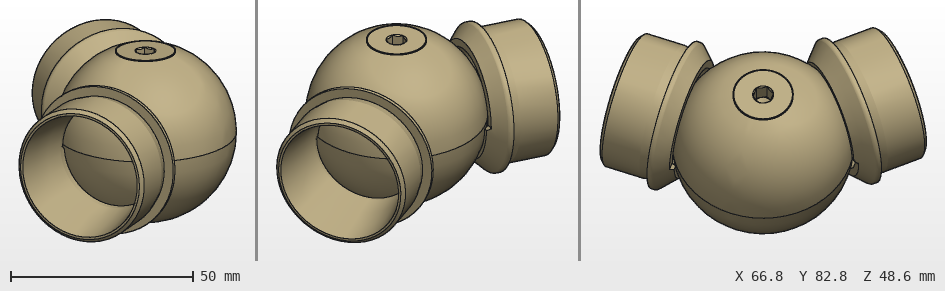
import cadquery as cq
import math

ball_radius = 25.0

screw_radius = 8.3
screw_top = 23.6
screw_chamfer = 0.25
socket_width = 5.0
socket_depth = 5.0
drill_tip_angle = 118

near_face = 20.0
clear_step = 1.0
flange_edge = 24.85
flange_end = 26.1
neck_start = 26.5
neck_end = 29.0
bore_taper_start = 22.1
connector_end = 41.0

flange_radius = 21.2
neck_radius = 18.5
tube_radius = 19.1
mouth_radius = 17.5
seat_radius = math.sqrt(ball_radius**2 - near_face**2)
cone_tip_radius = flange_radius - (flange_edge - near_face)
flange_fillet = 1.0
tube_chamfer = 1.0

lower_connector_angle = -90
upper_connector_angle = 135


def half_ball(side):
    """Solid half ball above (side = 1) or below (side = -1) the plane z = 0."""
    return (
        cq.Workplane("XZ")
        .moveTo(0, 0)
        .lineTo(ball_radius, 0)
        .radiusArc((0, side * ball_radius), -side * ball_radius)
        .close()
        .revolve(360, (0, 0, 0), (0, 1, 0))
    )


def make_upper_ball():
    """Upper half ball with the through hole for the screw."""
    screw_hole = cq.Workplane("XY").circle(screw_radius).extrude(ball_radius)
    return half_ball(1).cut(screw_hole)


def make_screw():
    """Plain screw body with a chamfered rim and a hexagon socket."""
    body = cq.Workplane("XY").circle(screw_radius).extrude(screw_top)
    body = body.faces(">Z").chamfer(screw_chamfer)

    corner_radius = socket_width / math.sqrt(3)
    socket_floor = screw_top - socket_depth
    socket = (
        cq.Workplane("XY")
        .workplane(offset=socket_floor)
        .polygon(6, 2 * corner_radius)
        .extrude(socket_depth)
    )

    tip_radius = socket_width / 2
    tip_depth = tip_radius / math.tan(math.radians(drill_tip_angle / 2))
    drill_tip = cq.Workplane(
        cq.Solid.makeCone(0, tip_radius, tip_depth, pnt=cq.Vector(0, 0, socket_floor - tip_depth))
    )

    lead_in = cq.Workplane(
        cq.Solid.makeCone(0, corner_radius, corner_radius, pnt=cq.Vector(0, 0, screw_top - corner_radius))
    )
    return body.cut(socket).cut(drill_tip).cut(lead_in)


def make_connector():
    """Flanged tube along +X whose half above z = 0 stands clear of the ball."""
    outline = [
        (near_face, seat_radius),
        (near_face, cone_tip_radius),
        (flange_edge, flange_radius),
        (flange_end, flange_radius),
        (flange_end, neck_radius),
        (neck_start, neck_radius),
        (neck_end, tube_radius),
        (connector_end - tube_chamfer, tube_radius),
        (connector_end, tube_radius - tube_chamfer),
        (connector_end, mouth_radius),
        (bore_taper_start, seat_radius),
    ]
    tube = cq.Workplane("XZ").polyline(outline).close().revolve(360, (0, 0, 0), (1, 0, 0))

    axial_margin = (flange_end - flange_edge) / 2
    rim_edge = cq.selectors.BoxSelector(
        (flange_edge - axial_margin, -flange_radius, -flange_radius),
        (flange_edge + axial_margin, flange_radius, flange_radius),
    )
    tube = tube.edges(rim_edge).fillet(flange_fillet)

    clear_face = near_face + clear_step
    clearance = (
        cq.Workplane("XZ")
        .polyline(
            [
                (near_face, -clear_step),
                (clear_face, 0),
                (clear_face, flange_radius),
                (near_face, flange_radius),
            ]
        )
        .close()
        .extrude(flange_radius, both=True)
    )
    return tube.cut(clearance)


lower_ball = half_ball(-1)
upper_ball = make_upper_ball()
screw = make_screw()

connectors = []
for turn_over, angle in [(0, lower_connector_angle), (180, upper_connector_angle)]:
    connector = (
        make_connector()
        .rotate((0, 0, 0), (1, 0, 0), turn_over)
        .rotate((0, 0, 0), (0, 0, 1), angle)
    )
    connectors.append(connector.val())

result = cq.Compound.makeCompound([lower_ball.val(), upper_ball.val(), screw.val(), *connectors])